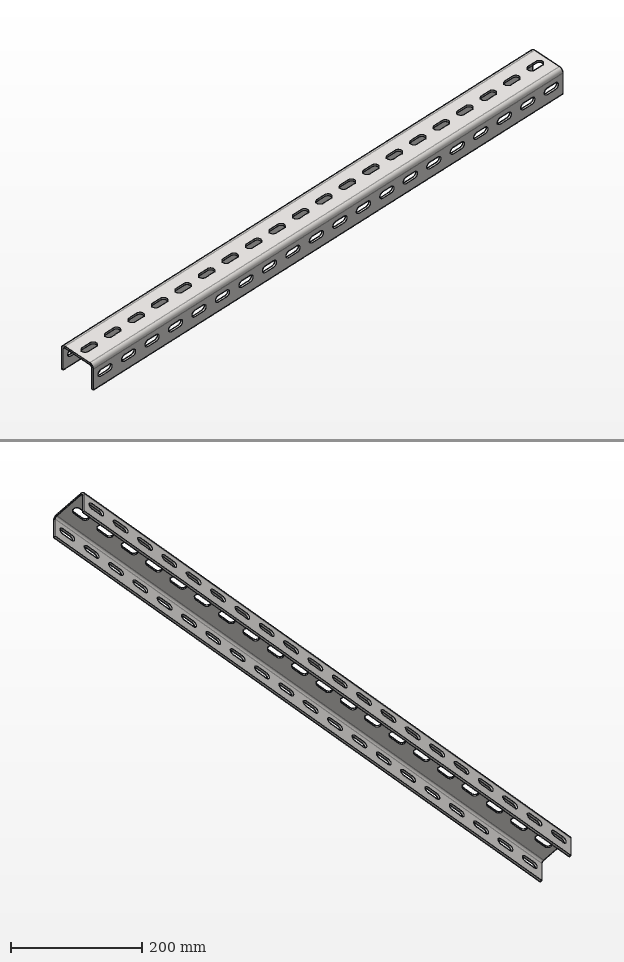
import cadquery as cq

length = 1000.0
width = 70.0
height = 50.0
thickness = 4.0
bend_outer_radius = 8.0
bend_inner_radius = bend_outer_radius - thickness

slot_count = 20
slot_length = 30.0
slot_width = 13.0
slot_pitch = length / slot_count
flange_slot_z = height / 2


def rounded_bar(bar_width, bar_height, bend_radius):
    """Bar standing on Z = 0 and centred in X and Y, with its two upper long edges rounded."""
    bar = cq.Workplane("XY").box(bar_width, length, bar_height, centered=(True, True, False))
    return bar.edges("|Y and >Z").fillet(bend_radius)


def slot_row(plane, depth):
    """Row of slot cutters along the plane's local x, extruded by depth to both sides of it."""
    first_center = (slot_pitch - length) / 2
    centers = [(first_center + i * slot_pitch, 0) for i in range(slot_count)]
    return cq.Workplane(plane).pushPoints(centers).slot2D(slot_length, slot_width).extrude(depth, both=True)


outside = rounded_bar(width, height, bend_outer_radius)
inside = rounded_bar(width - 2 * thickness, height - thickness, bend_inner_radius)
channel = outside.cut(inside)

web_plane = cq.Plane(origin=(0, 0, height), xDir=(0, 1, 0), normal=(0, 0, 1))
flange_plane = cq.Plane(origin=(0, 0, flange_slot_z), xDir=(0, 1, 0), normal=(1, 0, 0))

web_slots = slot_row(web_plane, 2 * thickness)
flange_slots = slot_row(flange_plane, width)

result = channel.cut(web_slots).cut(flange_slots)